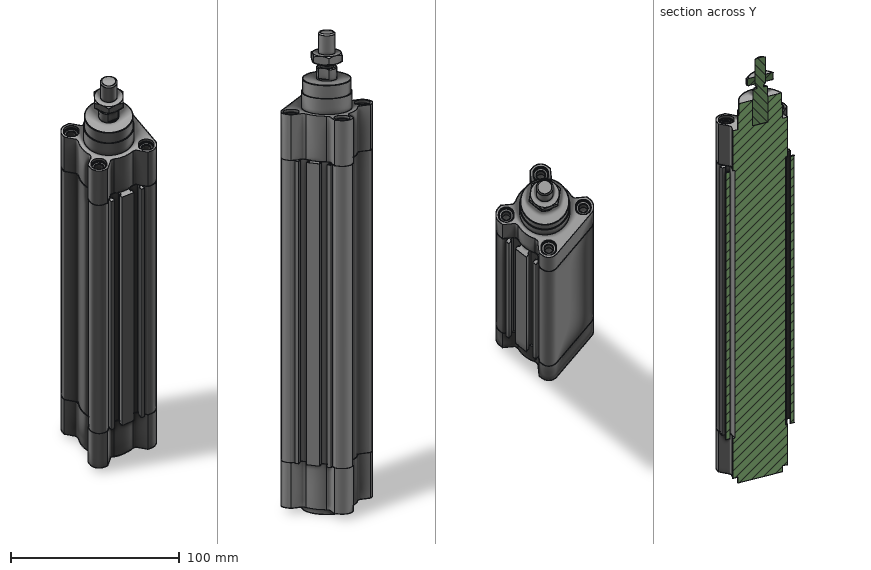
import cadquery as cq
import math

total_length = 295.0
cap_width = 45.0
barrel_width = 44.5

rear_spigot_height = 4.0
cap_height = 28.3
barrel_height = 187.7
front_boss_height = 18.0
boss_wide_height = 9.7

lobe_radius = 6.2
cap_waist_radius = 18.3
barrel_waist_radius = 18.0
cap_pocket_half_mouth = 14.0
barrel_pocket_half_mouth = 14.2
cap_pocket_depth = 5.3
barrel_pocket_depth = 6.5
barrel_mouth_fillet = 1.8
barrel_root_fillet = 1.0
cap_root_fillet = 1.5

rail_half_width = 11.5
rail_root_x = 15.3
slot_inner_edge = 4.0
slot_mouth_width = 5.0
slot_undercut = 1.0
slot_lip = 2.7
slot_depth = 5.5

boss_diameter = 30.0
boss_tip_diameter = 29.0
boss_chamfer = 0.3

recess_diameter = 9.5
recess_depth = 1.8
step_diameter = 8.3
step_depth = 2.7
thread_diameter = 6.0
bore_diameter = 5.0
bore_depth = 9.0
bore_cone_height = 1.5

rod_diameter = 12.0
thread_major_diameter = 10.0
rod_flats_width = 10.0
neck_diameter = 8.3
shoulder_z = 274.0
neck_height = 1.2
neck_taper_height = 1.2
rod_chamfer = 0.5
thread_tip_chamfer = 1.0
flats_gap = 1.0

nut_across_flats = 17.0
nut_bottom_z = 277.0
nut_height = 5.3
nut_chamfer_height = 1.0

barrel_z = rear_spigot_height + cap_height
front_cap_z = barrel_z + barrel_height
cap_top_z = front_cap_z + cap_height
boss_top_z = cap_top_z + front_boss_height
lobe_centre = cap_width / 2 - lobe_radius
rail_face_x = cap_width / 2


def profile_block(z, height, width, waist_radius, pocket_half_mouth, pocket_depth):
    """Rounded square bar with a waisted 45-degree pocket on -Y, +X and -X; the +Y side is flat."""
    half_width = width / 2
    block = cq.Workplane("XY").workplane(offset=z).rect(width, width).extrude(height)
    block = block.edges("|Z").fillet(lobe_radius)
    half_floor = pocket_half_mouth - pocket_depth
    floor_y = half_width - pocket_depth
    waist = cq.Workplane("XY").workplane(offset=z).circle(waist_radius).extrude(height)
    pocket = (
        cq.Workplane("XY")
        .workplane(offset=z)
        .polyline([
            (-pocket_half_mouth, -half_width),
            (pocket_half_mouth, -half_width),
            (half_floor, -floor_y),
            (-half_floor, -floor_y),
        ])
        .close()
        .extrude(height)
        .cut(waist)
    )
    for angle in (-90, 0, 90):
        block = block.cut(pocket.rotate((0, 0, 0), (0, 0, 1), angle))
    return block


def edges_at_radius(block, radius):
    """Vertical edges lying at the given distance from the Z axis."""
    tolerance = 0.15
    return block.edges("|Z").filter(
        lambda edge: abs(math.hypot(edge.Center().x, edge.Center().y) - radius) < tolerance
    )


def make_rail():
    """Solid rail on the +X side, running the whole length of the barrel."""
    return (
        cq.Workplane("XY")
        .workplane(offset=barrel_z)
        .center((rail_root_x + rail_face_x) / 2, 0)
        .rect(rail_face_x - rail_root_x, 2 * rail_half_width)
        .extrude(barrel_height)
    )


def slot(side):
    """Undercut slot on the +X side, at +Y (side = 1) or -Y (side = -1)."""
    near = slot_inner_edge
    far = slot_inner_edge + slot_mouth_width
    lip_x = rail_face_x - slot_lip
    floor_x = rail_face_x - slot_depth
    points = [
        (rail_face_x, near),
        (lip_x, near),
        (lip_x, near - slot_undercut),
        (floor_x, near - slot_undercut),
        (floor_x, far + slot_undercut),
        (lip_x, far + slot_undercut),
        (lip_x, far),
        (rail_face_x, far),
    ]
    outline = [(x, side * y) for x, y in points]
    return cq.Workplane("XY").workplane(offset=barrel_z).polyline(outline).close().extrude(barrel_height)


def make_cap(z):
    cap = profile_block(
        z,
        cap_height,
        cap_width,
        cap_waist_radius,
        cap_pocket_half_mouth,
        cap_pocket_depth,
    )
    half_floor = cap_pocket_half_mouth - cap_pocket_depth
    root_radius = math.hypot(half_floor, cap_width / 2 - cap_pocket_depth)
    return edges_at_radius(cap, root_radius).fillet(cap_root_fillet)


def make_barrel():
    barrel = profile_block(
        barrel_z,
        barrel_height,
        barrel_width,
        barrel_waist_radius,
        barrel_pocket_half_mouth,
        barrel_pocket_depth,
    )
    mouth_radius = math.hypot(barrel_pocket_half_mouth, barrel_width / 2)
    barrel = edges_at_radius(barrel, mouth_radius).fillet(barrel_mouth_fillet)
    barrel = edges_at_radius(barrel, barrel_waist_radius).fillet(barrel_root_fillet)
    for angle in (0, 180):
        barrel = barrel.union(make_rail().rotate((0, 0, 0), (0, 0, 1), angle))
        for side in (1, -1):
            barrel = barrel.cut(slot(side).rotate((0, 0, 0), (0, 0, 1), angle))
    return barrel


def make_front_boss():
    boss_radius = boss_diameter / 2
    tip_radius = boss_tip_diameter / 2
    wide_top_z = cap_top_z + boss_wide_height
    return (
        cq.Workplane("XZ")
        .polyline([
            (0, cap_top_z),
            (boss_radius, cap_top_z),
            (boss_radius, wide_top_z),
            (tip_radius, wide_top_z),
            (tip_radius, boss_top_z - boss_chamfer),
            (tip_radius - boss_chamfer, boss_top_z),
            (0, boss_top_z),
        ])
        .close()
        .revolve(360, (0, 0), (0, 1))
    )


def make_screw_recess():
    """Stepped blind hole on the Z axis, opening at the front cap's top face."""
    thread_chamfer = (thread_diameter - bore_diameter) / 2
    return (
        cq.Workplane("XZ")
        .polyline([
            (0, cap_top_z),
            (recess_diameter / 2, cap_top_z),
            (recess_diameter / 2, cap_top_z - recess_depth),
            (step_diameter / 2, cap_top_z - recess_depth),
            (step_diameter / 2, cap_top_z - step_depth),
            (thread_diameter / 2, cap_top_z - step_depth),
            (bore_diameter / 2, cap_top_z - step_depth - thread_chamfer),
            (bore_diameter / 2, cap_top_z - bore_depth),
            (0, cap_top_z - bore_depth - bore_cone_height),
        ])
        .close()
        .revolve(360, (0, 0), (0, 1))
    )


def make_housing():
    rear_spigot = (
        cq.Workplane("XY")
        .circle(boss_diameter / 2)
        .extrude(rear_spigot_height)
        .faces("<Z")
        .chamfer(boss_chamfer)
    )
    housing = (
        rear_spigot
        .union(make_cap(rear_spigot_height))
        .union(make_barrel())
        .union(make_cap(front_cap_z))
        .union(make_front_boss())
    )
    for x in (-lobe_centre, lobe_centre):
        for y in (-lobe_centre, lobe_centre):
            housing = housing.cut(make_screw_recess().translate((x, y, 0)))
    rod_bore = (
        cq.Workplane("XY")
        .workplane(offset=cap_top_z)
        .circle(rod_diameter / 2)
        .extrude(front_boss_height)
    )
    return housing.cut(rod_bore)


def make_rod():
    rod_radius = rod_diameter / 2
    thread_radius = thread_major_diameter / 2
    neck_radius = neck_diameter / 2
    neck_top_z = shoulder_z + neck_height
    rod = (
        cq.Workplane("XZ")
        .polyline([
            (0, cap_top_z),
            (rod_radius, cap_top_z),
            (rod_radius, shoulder_z - rod_chamfer),
            (rod_radius - rod_chamfer, shoulder_z),
            (neck_radius, shoulder_z),
            (neck_radius, neck_top_z),
            (thread_radius, neck_top_z + neck_taper_height),
            (thread_radius, total_length - thread_tip_chamfer),
            (thread_radius - thread_tip_chamfer, total_length),
            (0, total_length),
        ])
        .close()
        .revolve(360, (0, 0), (0, 1))
    )
    flats_z = boss_top_z + flats_gap
    flats_height = shoulder_z - flats_z
    flat_depth = (rod_diameter - rod_flats_width) / 2
    for side in (-1, 1):
        flat = (
            cq.Workplane("XY")
            .workplane(offset=flats_z)
            .center(side * (rod_flats_width + flat_depth) / 2, 0)
            .rect(flat_depth, rod_diameter)
            .extrude(flats_height)
        )
        rod = rod.cut(flat)
    return rod


def make_nut():
    """Hexagon nut with flats facing +X and -X, chamfered on both faces."""
    corner_radius = nut_across_flats / math.sqrt(3)
    flat_radius = nut_across_flats / 2
    nut_top_z = nut_bottom_z + nut_height
    hexagon = (
        cq.Workplane("XY")
        .workplane(offset=nut_bottom_z)
        .polygon(6, 2 * corner_radius)
        .extrude(nut_height)
        .rotate((0, 0, 0), (0, 0, 1), 90)
    )
    chamfer_envelope = (
        cq.Workplane("XZ")
        .polyline([
            (0, nut_bottom_z),
            (flat_radius, nut_bottom_z),
            (corner_radius, nut_bottom_z + nut_chamfer_height),
            (corner_radius, nut_top_z - nut_chamfer_height),
            (flat_radius, nut_top_z),
            (0, nut_top_z),
        ])
        .close()
        .revolve(360, (0, 0), (0, 1))
    )
    thread_bore = (
        cq.Workplane("XY")
        .workplane(offset=nut_bottom_z)
        .circle(thread_major_diameter / 2)
        .extrude(nut_height)
    )
    return hexagon.intersect(chamfer_envelope).cut(thread_bore)


housing = make_housing()
rod = make_rod()
nut = make_nut()

result = cq.Compound.makeCompound([housing.val(), rod.val(), nut.val()])